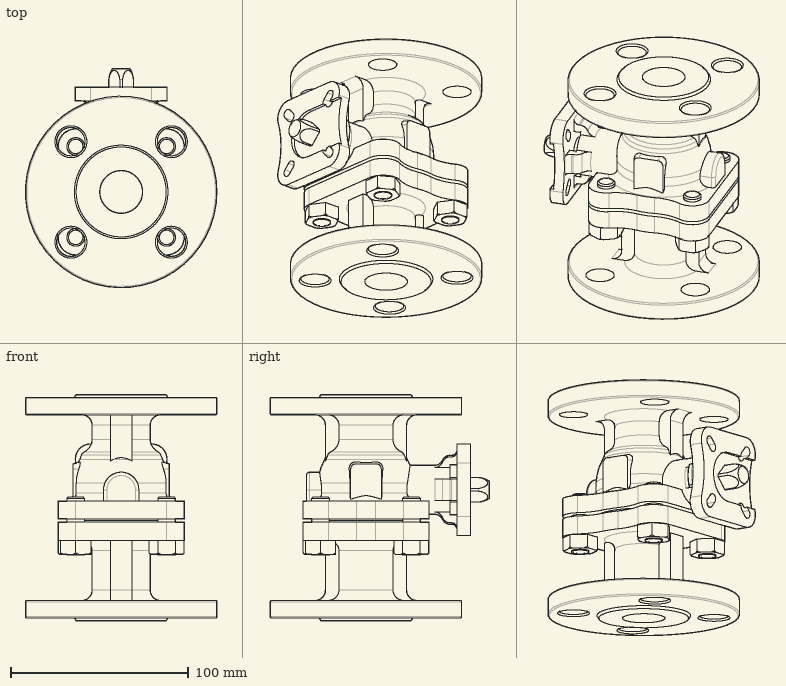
import cadquery as cq
import math


total_height = 127.5
flange_diameter = 108.0
flange_thickness = 10.0
flange_edge = 0.8
raised_face_height = 1.5
raised_face_base_radius = 26.4
raised_face_top_radius = 25.4
bore_diameter = 24.0
bolt_hole_diameter = 16.0
bolt_hole_edge = 1.0
bolt_circle_radius = 40.0

neck_radius = 16.5
neck_fillet = 5.7
ball_radius = 26.9
ball_center_z = 77.5
ball_top_z = 90.9
shoulder_radius = 22.5
shoulder_z = 93.3
blend_start_radius = 20.8
blend_start_z = 95.2
blend_end_z = 102.1
ball_foot_fillet = 4.6
rib_thickness = 12.2
rib_width = 45.9

joint_bottom_z = 45.3
joint_lower_thickness = 10.3
joint_gap = 1.9
joint_upper_thickness = 10.0
joint_bolt_offset = 25.6
joint_corner_radius = 10.0
joint_hub_radius = 32.4
joint_waist_radius = 25.5
gasket_radius = 26.9
stud_diameter = 10.0
stud_edge = 0.9
stud_top_height = 2.4
stud_end_height = 0.5
nut_height = 7.8
nut_across_corners = 19.8
nut_edge = 0.8

side_pad_face = 27.2
side_pad_width = 17.2
side_pad_top_z = 88.5
side_pad_corner = 2.9
side_pad_draft = 15.0
side_pad_depth = 10.2
front_pad_face = 33.7
front_pad_radius = 10.0
front_pad_edge = 1.9

stem_z = 73.8
boss_diameter = 27.8
boss_end = 47.4
plate_back = 51.3
plate_thickness = 7.8
plate_lobe_offset = 17.2
plate_lobe_radius = 8.7
plate_waist_half_height = 15.2
plate_waist_half_width = 23.2
plate_pocket_radius = 14.2
plate_pocket_depth = 2.0
slot_inner_radius = 21.0
slot_outer_radius = 25.2
slot_width = 5.4
arm_width = 12.0
arm_cavity_diameter = 30.5
arm_outer_radius = 19.5
arm_root_fillet = 2.9
arm_end = 38.8
stem_end = 69.5
stem_radius = 7.0
stem_tip_radius = 5.0
stem_tip_bulge = 0.4
stem_across_flats = 11.0
stem_shoulder = 63.4

flange_inner = raised_face_height + flange_thickness
top_flange_bottom_z = total_height - flange_inner
joint_lower_top_z = joint_bottom_z + joint_lower_thickness
joint_upper_bottom_z = joint_lower_top_z + joint_gap
joint_top_z = joint_upper_bottom_z + joint_upper_thickness
plate_front = plate_back + plate_thickness
joint_half_width = joint_bolt_offset + joint_corner_radius
diagonal = math.sqrt(0.5)
arc_mid_share = 1 - diagonal
neck_flare_radius = neck_radius + neck_fillet
neck_flare_rise = neck_fillet * arc_mid_share
neck_flare_mid = neck_radius + neck_flare_rise


def end_flange():
    """Flange with its raised face down on z = 0 and four chamfered bolt holes."""
    raised_face = cq.Workplane(
        cq.Solid.makeCone(raised_face_top_radius, raised_face_base_radius, raised_face_height)
    )
    disc = (
        cq.Workplane("XY")
        .workplane(offset=raised_face_height)
        .circle(flange_diameter / 2)
        .extrude(flange_thickness)
        .edges()
        .fillet(flange_edge)
    )
    hole_depth = flange_thickness + raised_face_height
    countersink = cq.Solid.makeCone(
        bolt_hole_diameter / 2 + bolt_hole_edge,
        bolt_hole_diameter / 2,
        bolt_hole_edge,
        cq.Vector(0, 0, raised_face_height),
    )
    drill = cq.Workplane("XY").circle(bolt_hole_diameter / 2).extrude(hole_depth).union(countersink)
    flange = raised_face.union(disc)
    for x_side in (-1, 1):
        for y_side in (-1, 1):
            offset = bolt_circle_radius * diagonal
            flange = flange.cut(drill.translate((x_side * offset, y_side * offset, 0)))
    return flange


def lower_neck():
    """Round neck flaring into the bottom flange and into the joint."""
    return (
        cq.Workplane("XZ")
        .moveTo(0, flange_inner)
        .lineTo(neck_flare_radius, flange_inner)
        .threePointArc(
            (neck_flare_mid, flange_inner + neck_flare_rise),
            (neck_radius, flange_inner + neck_fillet),
        )
        .lineTo(neck_radius, joint_bottom_z - neck_fillet)
        .threePointArc(
            (neck_flare_mid, joint_bottom_z - neck_flare_rise),
            (neck_flare_radius, joint_bottom_z),
        )
        .lineTo(0, joint_bottom_z)
        .close()
        .revolve(360, (0, 0, 0), (0, 1, 0))
    )


def ball_housing():
    """Ball housing on the joint, blending up into the upper neck and the top flange."""
    foot_mid = ball_radius + ball_foot_fillet * arc_mid_share
    foot_rise = ball_foot_fillet * arc_mid_share

    ball_top_angle = math.asin((ball_top_z - ball_center_z) / ball_radius)

    def on_ball(angle):
        return (ball_radius * math.cos(angle), ball_center_z + ball_radius * math.sin(angle))

    blend_width = blend_start_radius - neck_radius
    blend_height = blend_end_z - blend_start_z
    blend_radius = (blend_width**2 + blend_height**2) / (2 * blend_width)
    half_sweep = math.asin(blend_height / blend_radius) / 2
    blend_mid = (
        neck_radius + blend_radius * (1 - math.cos(half_sweep)),
        blend_end_z - blend_radius * math.sin(half_sweep),
    )

    return (
        cq.Workplane("XZ")
        .moveTo(0, joint_top_z)
        .lineTo(ball_radius + ball_foot_fillet, joint_top_z)
        .threePointArc((foot_mid, joint_top_z + foot_rise), (ball_radius, joint_top_z + ball_foot_fillet))
        .lineTo(ball_radius, ball_center_z)
        .threePointArc(on_ball(ball_top_angle / 2), on_ball(ball_top_angle))
        .lineTo(shoulder_radius, shoulder_z)
        .tangentArcPoint((blend_start_radius, blend_start_z), relative=False)
        .threePointArc(blend_mid, (neck_radius, blend_end_z))
        .lineTo(neck_radius, top_flange_bottom_z - neck_fillet)
        .threePointArc(
            (neck_flare_mid, top_flange_bottom_z - neck_flare_rise),
            (neck_flare_radius, top_flange_bottom_z),
        )
        .lineTo(0, top_flange_bottom_z)
        .close()
        .revolve(360, (0, 0, 0), (0, 1, 0))
    )


def rib(flange_z, end_z):
    """Flat rib across the neck, flared where it meets an end flange."""
    toward_end = math.copysign(1, end_z - flange_z)
    half_width = rib_width / 2
    mid = half_width + neck_flare_rise
    mid_z = flange_z + toward_end * neck_flare_rise
    tangent_z = flange_z + toward_end * neck_fillet
    return (
        cq.Workplane("YZ")
        .moveTo(-half_width, end_z)
        .lineTo(half_width, end_z)
        .lineTo(half_width, tangent_z)
        .threePointArc((mid, mid_z), (half_width + neck_fillet, flange_z))
        .lineTo(-half_width - neck_fillet, flange_z)
        .threePointArc((-mid, mid_z), (-half_width, tangent_z))
        .close()
        .extrude(rib_thickness / 2, both=True)
    )


def joint_plate(bottom_z, thickness):
    """Square joint plate with round corners and a smooth waist on its X sides."""
    corner_distance = math.hypot(joint_bolt_offset, joint_bolt_offset)
    hub_to_waist = joint_hub_radius + joint_waist_radius
    corner_to_waist = joint_corner_radius + joint_waist_radius
    square_sum = hub_to_waist**2 + corner_distance**2 - corner_to_waist**2
    corner_angle = math.acos(square_sum / (2 * hub_to_waist * corner_distance))
    waist_angle = math.pi / 4 - corner_angle
    waist_x = hub_to_waist * math.cos(waist_angle)
    waist_y = hub_to_waist * math.sin(waist_angle)

    hub_x = joint_hub_radius * math.cos(waist_angle)
    hub_y = joint_hub_radius * math.sin(waist_angle)
    share = joint_corner_radius / corner_to_waist
    corner_x = joint_bolt_offset + (waist_x - joint_bolt_offset) * share
    corner_y = joint_bolt_offset + (waist_y - joint_bolt_offset) * share
    mean_angle = math.atan2(hub_y + corner_y - 2 * waist_y, hub_x + corner_x - 2 * waist_x)
    dip_x = waist_x + joint_waist_radius * math.cos(mean_angle)
    dip_y = waist_y + joint_waist_radius * math.sin(mean_angle)
    round_x = joint_bolt_offset + joint_corner_radius * diagonal

    return (
        cq.Workplane("XY")
        .workplane(offset=bottom_z)
        .moveTo(-joint_bolt_offset, -joint_half_width)
        .lineTo(joint_bolt_offset, -joint_half_width)
        .threePointArc((round_x, -round_x), (corner_x, -corner_y))
        .threePointArc((dip_x, -dip_y), (hub_x, -hub_y))
        .threePointArc((joint_hub_radius, 0), (hub_x, hub_y))
        .threePointArc((dip_x, dip_y), (corner_x, corner_y))
        .threePointArc((round_x, round_x), (joint_bolt_offset, joint_half_width))
        .lineTo(-joint_bolt_offset, joint_half_width)
        .threePointArc((-round_x, round_x), (-corner_x, corner_y))
        .threePointArc((-dip_x, dip_y), (-hub_x, hub_y))
        .threePointArc((-joint_hub_radius, 0), (-hub_x, -hub_y))
        .threePointArc((-dip_x, -dip_y), (-corner_x, -corner_y))
        .threePointArc((-round_x, -round_x), (-joint_bolt_offset, -joint_half_width))
        .close()
        .extrude(thickness)
    )


def joint_bolt():
    """Stud through the joint with a hexagon nut under it, one corner along X."""
    stud_bottom_z = joint_bottom_z - nut_height - stud_end_height
    stud = (
        cq.Workplane("XY")
        .workplane(offset=stud_bottom_z)
        .circle(stud_diameter / 2)
        .extrude(joint_top_z + stud_top_height - stud_bottom_z)
        .faces(">Z")
        .chamfer(stud_edge)
    )
    nut_bottom = cq.Workplane("XY").workplane(offset=joint_bottom_z - nut_height)
    nut = nut_bottom.polygon(6, nut_across_corners).extrude(nut_height)
    blank = nut_bottom.circle(nut_across_corners / 2).extrude(nut_height)
    blank = blank.faces("<Z").chamfer(nut_edge)
    return stud.union(nut.intersect(blank))


def joint():
    """Two joint plates with a V-edged gasket between them and four bolts."""
    half_gap = joint_gap / 2
    gasket = (
        cq.Workplane("XZ")
        .moveTo(0, joint_lower_top_z)
        .lineTo(gasket_radius + half_gap, joint_lower_top_z)
        .lineTo(gasket_radius, joint_lower_top_z + half_gap)
        .lineTo(gasket_radius + half_gap, joint_upper_bottom_z)
        .lineTo(0, joint_upper_bottom_z)
        .close()
        .revolve(360, (0, 0, 0), (0, 1, 0))
    )
    body = (
        joint_plate(joint_bottom_z, joint_lower_thickness)
        .union(gasket)
        .union(joint_plate(joint_upper_bottom_z, joint_upper_thickness))
    )
    first_bolt = joint_bolt().translate((joint_bolt_offset, -joint_bolt_offset, 0))
    for turn in range(4):
        body = body.union(first_bolt.rotate((0, 0, 0), (0, 0, 1), 90 * turn))
    return body


def side_pad():
    """Drafted flat pad on the -X side of the ball housing."""
    height = side_pad_top_z - joint_top_z
    return (
        cq.Workplane("YZ")
        .workplane(offset=-side_pad_face)
        .center(0, joint_top_z + height / 2)
        .sketch()
        .rect(side_pad_width, height)
        .vertices(">Y")
        .fillet(side_pad_corner)
        .finalize()
        .extrude(side_pad_depth, taper=-side_pad_draft)
    )


def front_pad():
    """Arched pad on the -Y side with a rounded outer edge."""
    pad = (
        cq.Workplane("XZ")
        .moveTo(-front_pad_radius, joint_upper_bottom_z)
        .lineTo(front_pad_radius, joint_upper_bottom_z)
        .lineTo(front_pad_radius, stem_z)
        .threePointArc((0, stem_z + front_pad_radius), (-front_pad_radius, stem_z))
        .close()
        .extrude(front_pad_face)
    )
    return pad.faces("<Y").edges("not <Z").fillet(front_pad_edge)




def stem_and_boss():
    """Round boss and a stem that ends in a rounded square."""
    boss = cq.Workplane("XZ").circle(boss_diameter / 2).extrude(-boss_end)
    tip_bulge = ((stem_radius + stem_tip_radius) / 2 + stem_tip_bulge, (stem_shoulder + stem_end) / 2)
    stem = (
        cq.Workplane("XY")
        .moveTo(0, 0)
        .lineTo(stem_radius, 0)
        .lineTo(stem_radius, stem_shoulder)
        .threePointArc(tip_bulge, (stem_tip_radius, stem_end))
        .lineTo(0, stem_end)
        .close()
        .revolve(360, (0, 0, 0), (0, 1, 0))
    )
    square = (
        cq.Workplane("XZ")
        .rect(stem_across_flats, stem_across_flats)
        .extrude(-stem_end)
        .rotate((0, 0, 0), (0, 1, 0), 45)
    )
    round_part = cq.Workplane("XZ").circle(stem_radius).extrude(-plate_back)
    return boss.union(stem.intersect(square)).union(round_part)


def mounting_plate():
    """Plate with four lobes, a radial slot in each and an outer pocket open to -X."""
    edge = plate_lobe_offset + plate_lobe_radius
    round_point = plate_lobe_offset + plate_lobe_radius * diagonal
    waist_drop = plate_lobe_offset - plate_waist_half_height
    waist_x = plate_lobe_offset + math.sqrt(plate_lobe_radius**2 - waist_drop**2)
    waist_z = plate_waist_half_height
    plate = (
        cq.Workplane("XZ", origin=(0, plate_back, 0))
        .moveTo(-plate_lobe_offset, edge)
        .lineTo(plate_lobe_offset, edge)
        .threePointArc((round_point, round_point), (waist_x, waist_z))
        .threePointArc((plate_waist_half_width, 0), (waist_x, -waist_z))
        .threePointArc((round_point, -round_point), (plate_lobe_offset, -edge))
        .lineTo(-plate_lobe_offset, -edge)
        .threePointArc((-round_point, -round_point), (-waist_x, -waist_z))
        .threePointArc((-plate_waist_half_width, 0), (-waist_x, waist_z))
        .threePointArc((-round_point, round_point), (-plate_lobe_offset, edge))
        .close()
        .extrude(-plate_thickness)
    )
    pocket_plane = cq.Workplane("XZ", origin=(0, plate_front, 0))
    pocket = pocket_plane.circle(plate_pocket_radius).extrude(plate_pocket_depth)
    channel = (
        pocket_plane.center(-edge / 2, 0).rect(edge, 2 * plate_pocket_radius).extrude(plate_pocket_depth)
    )
    slot = (
        cq.Workplane("XZ", origin=(0, plate_front, 0))
        .center((slot_inner_radius + slot_outer_radius) / 2, 0)
        .slot2D(slot_outer_radius - slot_inner_radius + slot_width, slot_width)
        .extrude(plate_thickness)
    )
    plate = plate.cut(pocket).cut(channel)
    for turn in range(4):
        plate = plate.cut(slot.rotate((0, 0, 0), (0, 1, 0), 45 + 90 * turn))
    return plate


def arms():
    """Four arms that carry the plate: a revolved shell kept only on a cross."""
    root_mid = arm_outer_radius + arm_root_fillet * arc_mid_share
    root_mid_y = plate_back - arm_root_fillet * arc_mid_share
    boss_radius = boss_diameter / 2
    s_middle = ((boss_radius + arm_outer_radius) / 2, (arm_end + boss_end) / 2)
    shell = (
        cq.Workplane("XY")
        .moveTo(0, 0)
        .lineTo(boss_radius, 0)
        .lineTo(boss_radius, arm_end)
        .tangentArcPoint(s_middle, relative=False)
        .tangentArcPoint((arm_outer_radius, boss_end), relative=False)
        .lineTo(arm_outer_radius, plate_back - arm_root_fillet)
        .threePointArc((root_mid, root_mid_y), (arm_outer_radius + arm_root_fillet, plate_back))
        .lineTo(arm_cavity_diameter / 2, plate_back)
        .lineTo(arm_cavity_diameter / 2, boss_end)
        .lineTo(0, boss_end)
        .close()
        .revolve(360, (0, 0, 0), (0, 1, 0))
    )
    bar_length = 2 * (arm_outer_radius + arm_root_fillet)
    bar = cq.Workplane("XZ").rect(bar_length, arm_width).extrude(-plate_back)
    cross = bar.union(bar.rotate((0, 0, 0), (0, 1, 0), 90))
    return shell.intersect(cross)


bottom_flange = end_flange()
top_flange = end_flange().rotate((0, 0, 0), (1, 0, 0), 180).translate((0, 0, total_height))
stem_group = stem_and_boss().union(arms()).union(mounting_plate()).translate((0, 0, stem_z))
left_pad = side_pad()

result = (
    bottom_flange.union(lower_neck())
    .union(rib(flange_inner, joint_bottom_z))
    .union(joint())
    .union(ball_housing())
    .union(rib(top_flange_bottom_z, ball_center_z))
    .union(left_pad)
    .union(left_pad.mirror("YZ"))
    .union(front_pad())
    .union(stem_group)
    .union(top_flange)
    .cut(cq.Workplane("XY").circle(bore_diameter / 2).extrude(total_height))
)